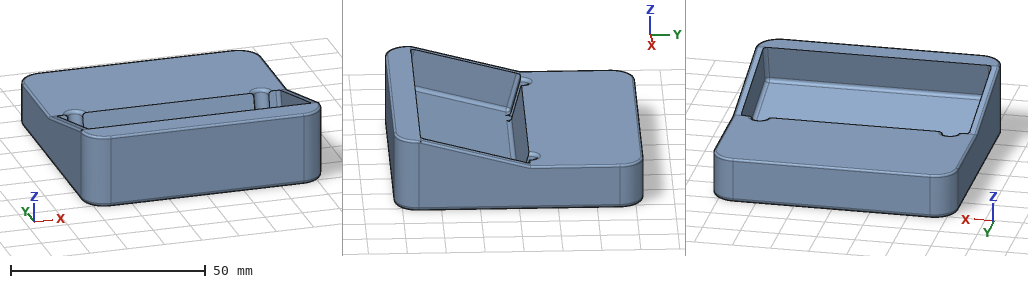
import cadquery as cq
import math

side = 64.0
height = 19.5
corner_radius = 6.15
bottom_fillet = 1.0
top_fillet = 0.6

slope_front_y = -25.35
slope_back_y = 2.8
slope_angle = math.radians(15)

pocket_width = 59.9
pocket_depth = 10.7
pocket_fillet = 1.0

relief_spacing = 49.9
relief_radius = 2.0
relief_rim_fillet = 1.0

pick_margin = 0.65

half_side = side / 2
slope_run = slope_back_y - slope_front_y
slope_length = slope_run / math.cos(slope_angle)
deck_height = height - slope_run * math.tan(slope_angle)

slope_plane = cq.Plane(
    origin=(0, slope_back_y, deck_height),
    xDir=(1, 0, 0),
    normal=(0, math.sin(slope_angle), math.cos(slope_angle)),
)
floor_plane = cq.Workplane(slope_plane).workplane(offset=-pocket_depth).plane

cutter_height = 2 * pocket_depth


def is_crease(edge):
    """True for the lines where the slope meets the land and the deck."""
    centre = edge.Center()
    return abs(centre.x) < pick_margin and abs(centre.y) < half_side - corner_radius


def make_body():
    """Rounded square block, trimmed to the top profile, with soft rims."""
    block = cq.Workplane("XY").rect(side, side).extrude(height)
    block = block.edges("|Z").fillet(corner_radius)
    profile = (
        cq.Workplane("YZ")
        .polyline([
            (-half_side, 0),
            (half_side, 0),
            (half_side, deck_height),
            (slope_back_y, deck_height),
            (slope_front_y, height),
            (-half_side, height),
        ])
        .close()
        .extrude(half_side, both=True)
    )
    body = block.intersect(profile)
    body = body.faces("<Z").edges().fillet(bottom_fillet)

    upper_faces = body.faces(cq.selectors.BoxSelector(
        (-half_side, -half_side, deck_height - pick_margin),
        (half_side, half_side, height + pick_margin),
    ))
    rim = upper_faces.edges().filter(lambda edge: not is_crease(edge))
    return rim.fillet(top_fillet)


def make_pocket():
    """Solid that cuts the pocket, with rounded corners and floor edge."""
    return (
        cq.Workplane(floor_plane)
        .center(0, -slope_length / 2)
        .rect(pocket_width, slope_length)
        .extrude(cutter_height)
        .edges(cq.selectors.ParallelDirSelector(floor_plane.zDir))
        .fillet(pocket_fillet)
        .faces(cq.selectors.DirectionMinMaxSelector(floor_plane.zDir, False))
        .edges()
        .fillet(pocket_fillet)
    )


def make_reliefs():
    """Round cutters along the back wall, as deep as the pocket."""
    return (
        cq.Workplane(floor_plane)
        .pushPoints([(-relief_spacing / 2, 0), (relief_spacing / 2, 0)])
        .circle(relief_radius)
        .extrude(cutter_height)
    )


def round_relief_rims(part):
    """Round the arcs where the reliefs break through the deck."""
    rims = part.edges(cq.selectors.BoxSelector(
        (-half_side, slope_back_y + pick_margin, deck_height - pick_margin),
        (half_side, slope_back_y + 2 * relief_radius, deck_height + pick_margin),
    ))
    return rims.fillet(relief_rim_fillet)


pocketed_body = make_body().cut(make_pocket()).cut(make_reliefs())
result = round_relief_rims(pocketed_body)